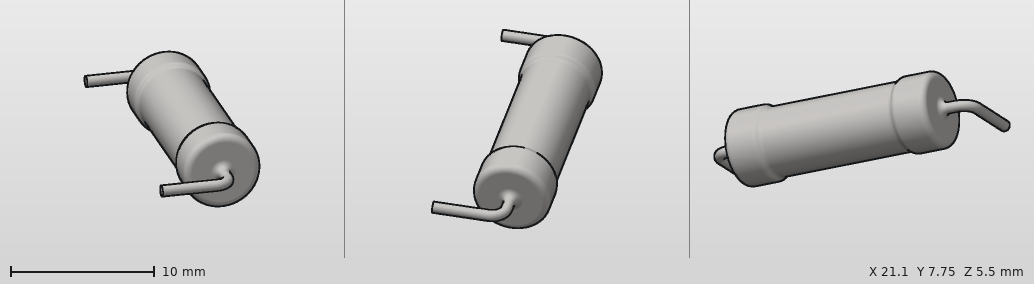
import cadquery as cq
import math

overall_length = 21.12
overall_depth = 7.75
lead_diameter = 0.8
bend_radius = 1.03

cap_diameter = 5.5
barrel_diameter = 5.0
body_length = 16.0
cap_edge_radius = 0.5
cap_straight_length = 1.84
neck_radius = 0.5

shoulder_radius = 0.49
shoulder_angle = math.radians(39)

cap_r = cap_diameter / 2
barrel_r = barrel_diameter / 2
lead_r = lead_diameter / 2
lead_x = overall_length / 2 - lead_r
lead_tip_y = cap_r - overall_depth

arc_drop = shoulder_radius * (1 - math.cos(shoulder_angle))
arc_run = shoulder_radius * math.sin(shoulder_angle)
cone_run = (cap_r - barrel_r - 2 * arc_drop) / math.tan(shoulder_angle)

body_end = body_length / 2
cap_outer_x = body_end - cap_edge_radius
cap_inner_x = cap_outer_x - cap_straight_length
barrel_end_x = cap_inner_x - 2 * arc_run - cone_run
neck_end_x = body_end + neck_radius


def arc_point(center, radius, angle):
    """Point on a circle at the given angle in radians."""
    return (center[0] + radius * math.cos(angle), center[1] + radius * math.sin(angle))


def barrel():
    """Plain cylinder between the two shoulders."""
    return (
        cq.Workplane("YZ", origin=(-barrel_end_x, 0, 0))
        .circle(barrel_r)
        .extrude(2 * barrel_end_x)
    )


def end_cap():
    """Shoulder, cap and flared neck at the +X end, turned about the X axis."""
    concave_center = (barrel_end_x, barrel_r + shoulder_radius)
    convex_center = (cap_inner_x, cap_r - shoulder_radius)
    edge_center = (cap_outer_x, cap_r - cap_edge_radius)
    neck_center = (neck_end_x, lead_r + neck_radius)

    profile = (
        cq.Workplane("XZ")
        .moveTo(barrel_end_x, 0)
        .lineTo(barrel_end_x, barrel_r)
        .threePointArc(
            arc_point(concave_center, shoulder_radius, -math.pi / 2 + shoulder_angle / 2),
            (barrel_end_x + arc_run, barrel_r + arc_drop),
        )
        .lineTo(cap_inner_x - arc_run, cap_r - arc_drop)
        .threePointArc(
            arc_point(convex_center, shoulder_radius, math.pi / 2 + shoulder_angle / 2),
            (cap_inner_x, cap_r),
        )
        .lineTo(cap_outer_x, cap_r)
        .threePointArc(
            arc_point(edge_center, cap_edge_radius, math.pi / 4),
            (body_end, cap_r - cap_edge_radius),
        )
        .lineTo(body_end, lead_r + neck_radius)
        .threePointArc(
            arc_point(neck_center, neck_radius, -3 * math.pi / 4),
            (neck_end_x, lead_r),
        )
        .lineTo(neck_end_x, 0)
        .close()
    )
    return profile.revolve(360, (0, 0, 0), (1, 0, 0))


def lead():
    """Wire leaving the +X neck and bending toward -Y."""
    bend_center = (lead_x - bend_radius, -bend_radius)
    path = (
        cq.Workplane("XY")
        .moveTo(neck_end_x, 0)
        .lineTo(lead_x - bend_radius, 0)
        .threePointArc(
            arc_point(bend_center, bend_radius, math.pi / 4),
            (lead_x, -bend_radius),
        )
        .lineTo(lead_x, lead_tip_y)
    )
    return cq.Workplane("YZ", origin=(neck_end_x, 0, 0)).circle(lead_r).sweep(path)


right_end = end_cap().union(lead())
left_end = right_end.mirror("YZ")
result = barrel().union(right_end).union(left_end)